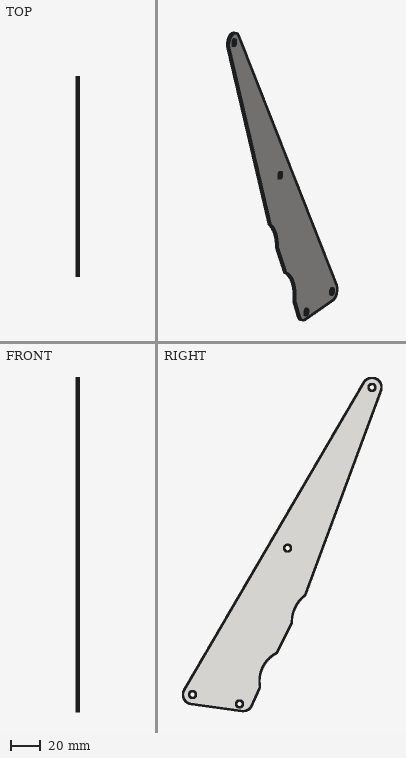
import cadquery as cq
import math

thickness = 1.59
width = 133.3
height = 223.7
corner_radius = 6.5
hole_diameter = 4.5

tip_centre = (corner_radius, height - corner_radius)
heel_centre = (width - corner_radius, 11.2)

hole_centres = [tip_centre, heel_centre, (63.0, 109.5), (95.3, 5.0)]

upper_scallop = [(51.2, 77.9), (57.3, 71.0), (60.2, 59.3)]
lower_scallop = [(70.3, 39.2), (78.8, 31.3), (81.5, 16.3)]

toe_corner = (89.0, -0.6)


def point_on_end(centre, angle):
    """Point on a rounded end at the given angle in radians."""
    return (
        centre[0] + corner_radius * math.cos(angle),
        centre[1] + corner_radius * math.sin(angle),
    )


def direction(start, end):
    """Angle in radians of the line from start to end."""
    return math.atan2(end[1] - start[1], end[0] - start[0])


def tangent_angle(point, centre, side):
    """Angle on a rounded end where a line from an outside point touches it.

    Seen from the centre, side = 1 is counter-clockwise of the point, -1 clockwise.
    """
    reach = math.dist(point, centre)
    return direction(centre, point) + side * math.acos(corner_radius / reach)


def make_plate():
    long_edge_normal = direction(tip_centre, heel_centre) + math.pi / 2
    tip_left = tangent_angle(upper_scallop[0], tip_centre, -1) % (2 * math.pi)
    tip_middle = (tip_left + long_edge_normal) / 2
    heel_bottom = tangent_angle(toe_corner, heel_centre, 1)
    heel_bottom = (heel_bottom + math.pi) % (2 * math.pi) - math.pi
    heel_middle = (heel_bottom + long_edge_normal) / 2

    profile_plane = cq.Plane(
        origin=(thickness / 2, width / 2, -height / 2), xDir=(0, -1, 0), normal=(-1, 0, 0)
    )
    plate = (
        cq.Workplane(profile_plane)
        .moveTo(*point_on_end(tip_centre, tip_left))
        .lineTo(*upper_scallop[0])
        .threePointArc(*upper_scallop[1:])
        .lineTo(*lower_scallop[0])
        .threePointArc(*lower_scallop[1:])
        .lineTo(*toe_corner)
        .lineTo(*point_on_end(heel_centre, heel_bottom))
        .threePointArc(
            point_on_end(heel_centre, heel_middle),
            point_on_end(heel_centre, long_edge_normal),
        )
        .lineTo(*point_on_end(tip_centre, long_edge_normal))
        .threePointArc(
            point_on_end(tip_centre, tip_middle),
            point_on_end(tip_centre, tip_left),
        )
        .close()
        .extrude(thickness)
    )

    plate = plate.edges("|X").edges("<Z").fillet(corner_radius)

    holes = (
        cq.Workplane(profile_plane)
        .pushPoints(hole_centres)
        .circle(hole_diameter / 2)
        .extrude(thickness)
    )
    return plate.cut(holes)


result = make_plate()